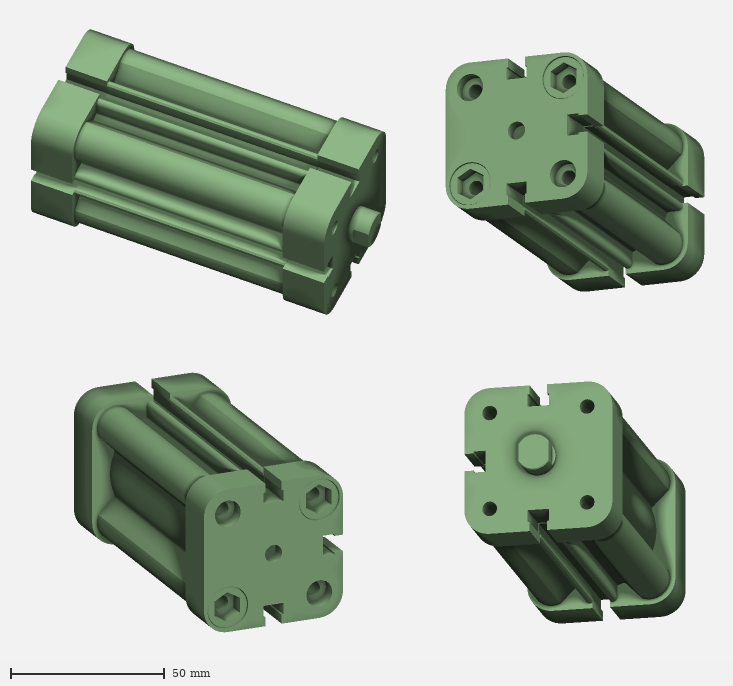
import cadquery as cq
import math

total_length = 111.5
housing_length = 104.5
cap_length = 14.7
barrel_length = housing_length - 2 * cap_length
front_cap_start = housing_length - cap_length

cap_width = 49.5
cap_half = cap_width / 2
screw_offset = 16.3
cap_corner_radius = cap_half - screw_offset

web_end_radius = 6.8
barrel_half = screw_offset + web_end_radius
core_radius = 18.4
web_width = 12.6
web_root_fillet = 1.0
lip_half_width = 5.4
lip_rounding = 1.6
lip_root_fillet = 0.6

slot_angles = (0, 90, 180)
slot_step = 21.6
cap_mouth_half = 2.9
cap_slot_half = 3.6
cap_slot_floor = 17.6
barrel_mouth_half = 2.8
barrel_slot_half = 3.2
barrel_slot_floor = 18.0
mouth_chamfer = 0.6

port_radius = 3.0
port_depth = 5.0
open_bore_radius = 4.6
open_bore_depth = 5.0
passage_radius = 2.5
counterbore_radius = 7.2

head_radius = 7.0
head_recess = 0.5
head_seat = 10.0
shank_radius = open_bore_radius
socket_across_flats = 9.0
socket_depth = 5.0

rod_radius = 6.0
rod_chamfer = 0.3
rod_flat_half = 5.0
collar_length = 1.3
flat_runout = 0.3

screw_corners = [(-screw_offset, screw_offset), (screw_offset, -screw_offset)]
open_corners = [(-screw_offset, -screw_offset), (screw_offset, screw_offset)]
all_corners = screw_corners + open_corners


def cylinders_along_x(start, length, radius, points):
    """Cylinders along X centred on the given (Y, Z) points."""
    plane = cq.Workplane("YZ", origin=(start, 0, 0))
    return plane.pushPoints(points).circle(radius).extrude(length)


def bar_along_x(start, length, half_width, bottom, top):
    """Rectangular bar along X, centred in Y and spanning bottom to top in Z."""
    plane = cq.Workplane("YZ", origin=(start, 0, 0))
    return plane.center(0, (bottom + top) / 2).rect(2 * half_width, top - bottom).extrude(length)


def turned(shape, angle):
    """Shape turned about the cylinder axis."""
    return shape.rotate((0, 0, 0), (1, 0, 0), angle)


def fillet_long_edges(shape, points, radius):
    """Fillet the barrel-long edges that pass nearest the given (Y, Z) points."""
    middle = housing_length / 2
    chosen = [shape.edges(cq.NearestToPointSelector((middle, y, z))).val() for y, z in points]
    return shape.newObject(chosen).fillet(radius)


def make_slot(start, length, mouth_half, slot_half, floor):
    """Slot with a narrow mouth, placed on the +Z side."""
    mouth = bar_along_x(start, length, mouth_half, slot_step, cap_half)
    return bar_along_x(start, length, slot_half, floor, slot_step).union(mouth)


def make_end_cap(start):
    cap = (
        cq.Workplane("YZ", origin=(start, 0, 0))
        .rect(cap_width, cap_width)
        .extrude(cap_length)
        .edges("|X")
        .fillet(cap_corner_radius)
    )
    slot = make_slot(start, cap_length, cap_mouth_half, cap_slot_half, cap_slot_floor)
    for angle in slot_angles:
        cap = cap.cut(turned(slot, angle))
    return cap


def make_barrel_core():
    """Round core with a diagonal web out to each corner, its end rounded about the corner axis."""
    core = cylinders_along_x(cap_length, barrel_length, core_radius, [(0, 0)])
    web_half = web_width / 2
    corner_distance = math.sqrt(2) * screw_offset
    shoulder = corner_distance + math.sqrt(web_end_radius**2 - web_half**2)
    crest = corner_distance + web_end_radius
    web = (
        cq.Workplane("YZ", origin=(cap_length, 0, 0))
        .moveTo(-web_half, -shoulder)
        .lineTo(-web_half, shoulder)
        .threePointArc((0, crest), (web_half, shoulder))
        .lineTo(web_half, -shoulder)
        .threePointArc((0, -crest), (-web_half, -shoulder))
        .close()
        .extrude(barrel_length)
    )
    for angle in (45, -45):
        core = core.union(turned(web, angle))
    root_distance = math.sqrt(core_radius**2 - web_half**2)
    root_far = (root_distance + web_half) / math.sqrt(2)
    root_near = (root_distance - web_half) / math.sqrt(2)
    roots = [
        (y_sign * y, z_sign * z)
        for y_sign in (1, -1)
        for z_sign in (1, -1)
        for y, z in ((root_far, root_near), (root_near, root_far))
    ]
    return fillet_long_edges(core, roots, web_root_fillet)


def make_slot_lips():
    """Block that holds both lips of a slot, with rounded outer corners, on the +Z side."""
    block = bar_along_x(cap_length, barrel_length, lip_half_width, 0, barrel_half)
    return block.edges("|X and >Z").fillet(lip_rounding)


def make_barrel_slot():
    """Barrel slot with a bevelled mouth, on the +Z side."""
    slot = make_slot(cap_length, barrel_length, barrel_mouth_half, barrel_slot_half, barrel_slot_floor)
    bevel = (
        cq.Workplane("YZ", origin=(cap_length, 0, 0))
        .moveTo(-barrel_mouth_half - mouth_chamfer, barrel_half)
        .lineTo(barrel_mouth_half + mouth_chamfer, barrel_half)
        .lineTo(barrel_mouth_half, barrel_half - mouth_chamfer)
        .lineTo(-barrel_mouth_half, barrel_half - mouth_chamfer)
        .close()
        .extrude(barrel_length)
    )
    return slot.union(bevel)


def make_barrel():
    barrel = make_barrel_core()
    lips = make_slot_lips()
    slot = make_barrel_slot()
    root_height = math.sqrt(core_radius**2 - lip_half_width**2)
    for angle in slot_angles:
        barrel = turned(barrel, -angle).union(lips)
        roots = [(-lip_half_width, root_height), (lip_half_width, root_height)]
        barrel = turned(fillet_long_edges(barrel, roots, lip_root_fillet), angle)
    for angle in slot_angles:
        barrel = barrel.cut(turned(slot, angle))
    return barrel


def make_housing():
    """Both end caps and the barrel in one piece, with the corner holes, port and rod bore."""
    rear_cap = make_end_cap(0)
    front_cap = make_end_cap(front_cap_start)
    housing = rear_cap.union(make_barrel()).union(front_cap)
    housing = housing.cut(cylinders_along_x(0, housing_length, passage_radius, all_corners))
    housing = housing.cut(cylinders_along_x(0, open_bore_depth, open_bore_radius, open_corners))
    housing = housing.cut(cylinders_along_x(0, cap_length, shank_radius, screw_corners))
    housing = housing.cut(cylinders_along_x(0, head_seat, counterbore_radius, screw_corners))
    housing = housing.cut(cylinders_along_x(0, port_depth, port_radius, [(0, 0)]))
    return housing.cut(cylinders_along_x(front_cap_start, cap_length, rod_radius, [(0, 0)]))


def make_cap_screw(corner):
    """Hollow screw with a hexagon socket, its head seated in the rear cap."""
    socket_across_corners = socket_across_flats / math.cos(math.pi / 6)
    socket = (
        cq.Workplane("YZ", origin=(head_recess, 0, 0))
        .center(*corner)
        .transformed(rotate=(0, 0, 90))
        .polygon(6, socket_across_corners)
        .extrude(socket_depth)
    )
    screw = cylinders_along_x(head_recess, head_seat - head_recess, head_radius, [corner])
    screw = screw.union(cylinders_along_x(head_seat, cap_length - head_seat, shank_radius, [corner]))
    screw = screw.cut(cylinders_along_x(0, cap_length, passage_radius, [corner]))
    return screw.cut(socket)


def make_piston_rod():
    """Rod seated in the front cap, with two wrench flats on its outer end."""
    rod = cylinders_along_x(front_cap_start, total_length - front_cap_start, rod_radius, [(0, 0)])
    rod = rod.faces(">X").chamfer(rod_chamfer)
    shoulder = housing_length + collar_length
    flat_cut = (
        cq.Workplane("XY")
        .moveTo(shoulder, rod_radius)
        .lineTo(shoulder + flat_runout, rod_flat_half)
        .lineTo(total_length, rod_flat_half)
        .lineTo(total_length, rod_radius)
        .close()
        .extrude(rod_radius, both=True)
    )
    return rod.cut(flat_cut).cut(flat_cut.mirror("XZ"))


housing = make_housing()
piston_rod = make_piston_rod()
cap_screws = [make_cap_screw(corner) for corner in screw_corners]

result = cq.Compound.makeCompound(
    [housing.val(), piston_rod.val(), *[screw.val() for screw in cap_screws]]
)